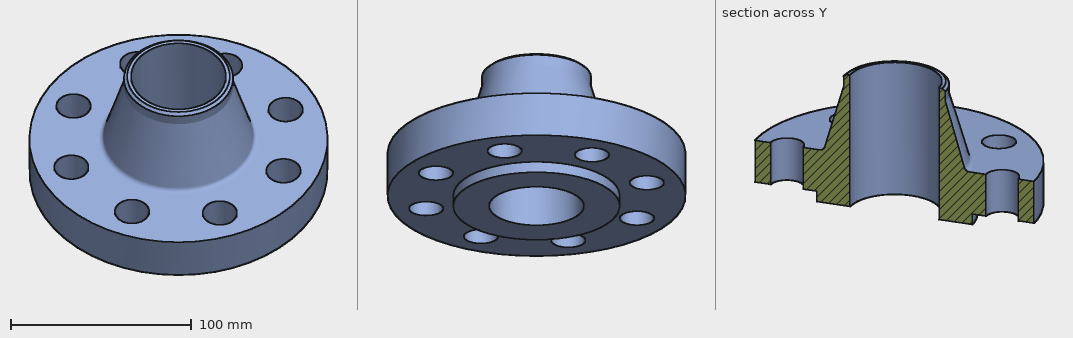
import cadquery as cq

flange_diameter = 165.0
flange_thickness = 25.5
raised_face_diameter = 92.1
raised_face_height = 6.3
overall_height = 79.5

hub_base_diameter = 84.0
neck_diameter = 60.4
neck_length = 7.6
hub_fillet_radius = 3.0
bore_diameter = 52.5
weld_bevel_height = 1.5
weld_land = 2.1

bolt_count = 8
bolt_hole_diameter = 19.0
bolt_circle_diameter = 127.1

flange_bottom = raised_face_height
flange_top = flange_bottom + flange_thickness
neck_bottom = overall_height - neck_length
bevel_bottom = overall_height - weld_bevel_height

bore_radius = bore_diameter / 2
neck_radius = neck_diameter / 2
hub_base_radius = hub_base_diameter / 2
flange_radius = flange_diameter / 2
raised_face_radius = raised_face_diameter / 2


def make_body():
    """Revolve the half section, bore included, about the Z axis."""
    section = [
        (bore_radius, 0),
        (raised_face_radius, 0),
        (raised_face_radius, flange_bottom),
        (flange_radius, flange_bottom),
        (flange_radius, flange_top),
        (hub_base_radius, flange_top),
        (neck_radius, neck_bottom),
        (neck_radius, bevel_bottom),
        (bore_radius + weld_land, overall_height),
        (bore_radius, overall_height),
    ]
    return cq.Workplane("XZ").polyline(section).close().revolve(360, (0, 0, 0), (0, 1, 0))


def round_hub_base(body):
    """Fillet the corner where the hub taper meets the flange top."""
    margin = 0.2
    corner_box = cq.selectors.BoxSelector(
        (-hub_base_radius - margin, -hub_base_radius - margin, flange_top - margin),
        (hub_base_radius + margin, hub_base_radius + margin, flange_top + margin),
        boundingbox=True,
    )
    return body.edges(corner_box).fillet(hub_fillet_radius)


def make_bolt_holes():
    """Cylinders evenly spaced on the bolt circle, the first one on +X."""
    return (
        cq.Workplane("XY", origin=(0, 0, flange_bottom))
        .polarArray(bolt_circle_diameter / 2, 0, 360, bolt_count)
        .circle(bolt_hole_diameter / 2)
        .extrude(flange_thickness)
    )


result = round_hub_base(make_body()).cut(make_bolt_holes())